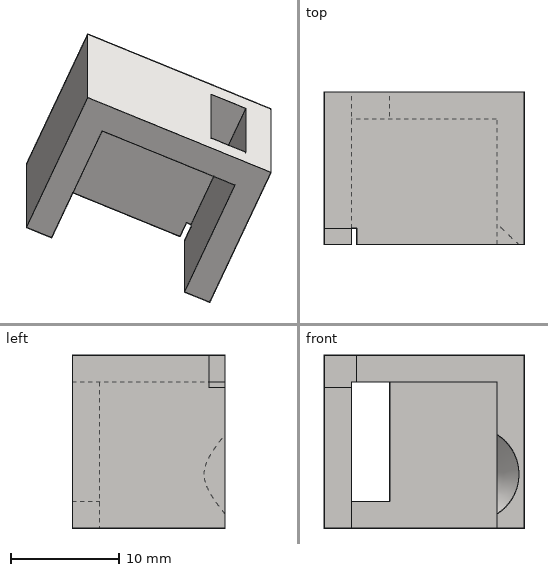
import cadquery as cq

length = 18.5
depth = 14.1
height = 16.0
side_wall = 2.55
wall = 2.5

window_width = 3.5

notch_side = 3.0
notch_depth = 1.5

cone_radius = 4.33
cone_depth = 4.09
cone_height = 5.0
cone_wall_offset = 2.28


def box_at(x, y, z, size_x, size_y, size_z):
    """Box with its lowest corner at (x, y, z)."""
    return cq.Workplane("XY").box(size_x, size_y, size_z, centered=False).translate((x, y, z))


body = box_at(0, 0, 0, length, depth, height)

inner_length = length - 2 * side_wall
cavity = box_at(side_wall, 0, 0, inner_length, depth - wall, height - wall)

window = box_at(side_wall, depth - wall, wall, window_width, wall, height - 2 * wall)

notch = box_at(0, 0, height - notch_side, notch_side, notch_depth, notch_side)

cone_x = length - side_wall - cone_wall_offset
hollow = cq.Workplane(
    cq.Solid.makeCone(
        cone_radius, 0, cone_depth, pnt=cq.Vector(cone_x, 0, cone_height), dir=cq.Vector(0, 1, 0)
    )
)

result = body.cut(cavity).cut(window).cut(notch).cut(hollow)